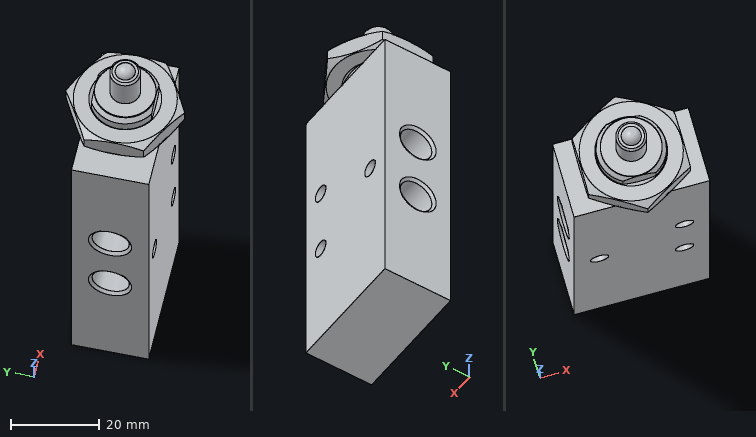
import cadquery as cq
import math

BODY_WIDTH = 32.0
BODY_DEPTH = 18.0
BODY_HEIGHT = 75.0

MOUNT_HOLE_DIAMETER = 4.25
MOUNT_HOLE_X = 10.0
MOUNT_CENTRE_Z = 38.0
MOUNT_PAIR_SPACING = 18.0

PORT_DIAMETER = 8.6
PORT_MOUTH_DIAMETER = 10.0
PORT_DEPTH = 10.0
PORT_SPACING = 17.0
PORT_CHAMFER = (PORT_MOUTH_DIAMETER - PORT_DIAMETER) / 2

STEM_DIAMETER = 16.0
STEM_FLAT_WIDTH = 14.0
STEM_HEIGHT = 12.0
STEM_TIP_HEIGHT = 0.4
STEM_TIP_DIAMETER = 14.0
STEM_CHAMFER = (STEM_DIAMETER - STEM_TIP_DIAMETER) / 2
STEM_TOP_Z = BODY_HEIGHT + STEM_HEIGHT

PLUNGER_DIAMETER = 7.0
PLUNGER_HEIGHT = 8.2
PLUNGER_CHAMFER = 0.5
BALL_RADIUS = 2.35
OVERALL_HEIGHT = 97.0

NUT_ACROSS_FLATS = 24.0
HEX_HALF_ANGLE = 30.0
NUT_THICKNESS = 5.0
NUT_CLEARANCE = 3.5
NUT_BOTTOM_Z = BODY_HEIGHT + NUT_CLEARANCE
NUT_MOUTH_DIAMETER = 16.5
NUT_FACE_DIAMETER = 23.6
NUT_CHAMFER_ANGLE = 30.0


def make_block():
    return cq.Workplane("XY").box(BODY_WIDTH, BODY_DEPTH, BODY_HEIGHT, centered=(True, True, False))


def make_flatted_bar(bottom_z, height):
    """Straight bar with the stem's section: a circle cut by two flats."""
    between_flats = (
        cq.Workplane("XY", origin=(0, 0, bottom_z))
        .box(STEM_DIAMETER, STEM_FLAT_WIDTH, height, centered=(True, True, False))
    )
    return (
        cq.Workplane("XY", origin=(0, 0, bottom_z))
        .circle(STEM_DIAMETER / 2)
        .extrude(height)
        .intersect(between_flats)
    )


def make_stem():
    radius = STEM_DIAMETER / 2
    tip_radius = STEM_TIP_DIAMETER / 2
    tip_start = STEM_HEIGHT - STEM_TIP_HEIGHT
    turned = (
        cq.Workplane("XZ", origin=(0, 0, BODY_HEIGHT))
        .polyline([
            (0, 0),
            (radius, 0),
            (radius, tip_start - STEM_CHAMFER),
            (tip_radius, tip_start),
            (tip_radius, STEM_HEIGHT),
            (0, STEM_HEIGHT),
        ])
        .close()
        .revolve()
    )
    return turned.intersect(make_flatted_bar(BODY_HEIGHT, STEM_HEIGHT))


def make_plunger():
    rod = (
        cq.Workplane("XY", origin=(0, 0, STEM_TOP_Z))
        .circle(PLUNGER_DIAMETER / 2)
        .extrude(PLUNGER_HEIGHT)
        .faces(">Z")
        .chamfer(PLUNGER_CHAMFER)
    )
    ball = cq.Workplane("XY", origin=(0, 0, OVERALL_HEIGHT - BALL_RADIUS)).sphere(BALL_RADIUS)
    return rod.union(ball)


def make_mount_holes():
    centres = [
        (-MOUNT_HOLE_X, MOUNT_CENTRE_Z),
        (MOUNT_HOLE_X, MOUNT_CENTRE_Z - MOUNT_PAIR_SPACING / 2),
        (MOUNT_HOLE_X, MOUNT_CENTRE_Z + MOUNT_PAIR_SPACING / 2),
    ]
    return (
        cq.Workplane("XZ")
        .pushPoints(centres)
        .circle(MOUNT_HOLE_DIAMETER / 2)
        .extrude(BODY_DEPTH, both=True)
    )


def make_port(centre_z):
    """Blind bore entering the -X face, its mouth opened by a 45 degree chamfer."""
    bore_radius = PORT_DIAMETER / 2
    profile = [
        (0, 0),
        (PORT_MOUTH_DIAMETER / 2, 0),
        (bore_radius, PORT_CHAMFER),
        (bore_radius, PORT_DEPTH),
        (0, PORT_DEPTH),
    ]
    section = cq.Plane(origin=(-BODY_WIDTH / 2, 0, centre_z), xDir=(0, 1, 0), normal=(0, 0, 1))
    return (
        cq.Workplane(section)
        .polyline([(radius, -depth) for radius, depth in profile])
        .close()
        .revolve()
    )


def make_valve():
    valve = make_block().union(make_stem()).union(make_plunger())
    valve = valve.cut(make_mount_holes())
    for side in (-1, 1):
        valve = valve.cut(make_port(MOUNT_CENTRE_Z + side * PORT_SPACING / 2))
    return valve


def make_nut_bore():
    """Hole matching the flatted stem, with a 45 degree countersink at both ends."""
    mouth_radius = NUT_MOUTH_DIAMETER / 2
    throat_radius = STEM_FLAT_WIDTH / 2
    sink_depth = mouth_radius - throat_radius
    countersinks = (
        cq.Workplane("XZ", origin=(0, 0, NUT_BOTTOM_Z))
        .polyline([
            (0, 0),
            (mouth_radius, 0),
            (throat_radius, sink_depth),
            (throat_radius, NUT_THICKNESS - sink_depth),
            (mouth_radius, NUT_THICKNESS),
            (0, NUT_THICKNESS),
        ])
        .close()
        .revolve()
    )
    return countersinks.union(make_flatted_bar(NUT_BOTTOM_Z, NUT_THICKNESS))


def make_nut():
    corner_radius = NUT_ACROSS_FLATS / 2 / math.cos(math.radians(HEX_HALF_ANGLE))
    face_radius = NUT_FACE_DIAMETER / 2
    chamfer_drop = (corner_radius - face_radius) * math.tan(math.radians(NUT_CHAMFER_ANGLE))
    hexagon = (
        cq.Workplane("XY", origin=(0, 0, NUT_BOTTOM_Z))
        .transformed(rotate=(0, 0, 90))
        .polygon(6, 2 * corner_radius)
        .extrude(NUT_THICKNESS)
    )
    envelope = (
        cq.Workplane("XZ", origin=(0, 0, NUT_BOTTOM_Z))
        .polyline([
            (0, 0),
            (face_radius, 0),
            (corner_radius, chamfer_drop),
            (corner_radius, NUT_THICKNESS - chamfer_drop),
            (face_radius, NUT_THICKNESS),
            (0, NUT_THICKNESS),
        ])
        .close()
        .revolve()
    )
    return hexagon.intersect(envelope).cut(make_nut_bore())


valve = make_valve()
nut = make_nut()

result = cq.Compound.makeCompound([valve.solids().val(), nut.solids().val()])